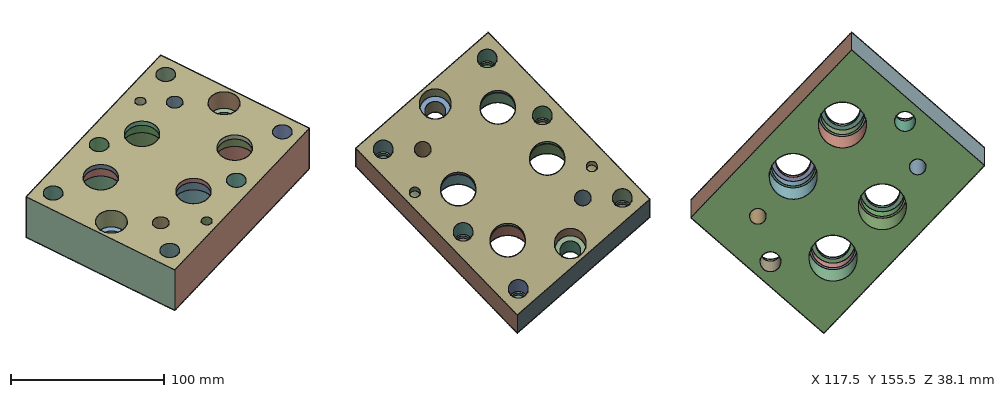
import cadquery as cq
import math

WIDTH = 117.5
LENGTH = 155.5
THICKNESS = 38.1
TOP = THICKNESS / 2

DRILL_POINT_ANGLE = 118.0

END_ROW = 65.0
SIDE_COLUMN = 46.0
PORT_COLUMN = 28.5
ROW_PITCH = 23.8
INNER_ROW = ROW_PITCH / 2
OUTER_ROW = INNER_ROW + ROW_PITCH

MOUNT_DIAMETER = 13.5
MOUNT_HEAD_DIAMETER = 20.7
MOUNT_HEAD_DEPTH = 15.5
MOUNT_POINTS = [(0, END_ROW), (0, -END_ROW)]

PORT_DIAMETER = 23.0
PORT_MIDDLE_DIAMETER = 28.6
PORT_MIDDLE_START = 3.9
PORT_BOTTOM_DIAMETER = 31.3
PORT_BOTTOM_START = 13.7
PORT_POINTS = [
    (PORT_COLUMN, OUTER_ROW),
    (PORT_COLUMN, -INNER_ROW),
    (-PORT_COLUMN, INNER_ROW),
    (-PORT_COLUMN, -OUTER_ROW),
]

PILOT_DIAMETER = 10.7
PILOT_COLUMN = 27.0
PILOT_ROW = 47.6
PILOT_POINTS = [(-PILOT_COLUMN, PILOT_ROW), (PILOT_COLUMN, -PILOT_ROW)]

SCREW_THREAD_DIAMETER = 12.8
SCREW_THREAD_DEPTH = 24.9
SCREW_DRILL_DIAMETER = 10.7
SCREW_DRILL_DEPTH = 29.5
SCREW_POINTS = [
    (-SIDE_COLUMN, END_ROW),
    (SIDE_COLUMN, END_ROW),
    (SIDE_COLUMN, INNER_ROW),
    (-SIDE_COLUMN, -INNER_ROW),
    (-SIDE_COLUMN, -END_ROW),
    (SIDE_COLUMN, -END_ROW),
]

PIN_DIAMETER = 7.2
PIN_DEPTH = 8.1
RIGHT_PIN_COLUMN = 50.9
RIGHT_PIN_ROW = -29.4
PIN_POINTS = [(-SIDE_COLUMN, OUTER_ROW), (RIGHT_PIN_COLUMN, RIGHT_PIN_ROW)]


def cylinders(points, diameter, start_depth, end_depth):
    """Cylinders at the points, between two depths below the top face."""
    return (
        cq.Workplane("XY", origin=(0, 0, TOP - end_depth))
        .pushPoints(points)
        .circle(diameter / 2)
        .extrude(end_depth - start_depth)
    )


def drilled_hole(point, diameter, depth):
    """Blind hole from the top face, full diameter to the depth, with a conical tip."""
    radius = diameter / 2
    tip_length = radius / math.tan(math.radians(DRILL_POINT_ANGLE / 2))
    return (
        cq.Workplane("XZ", origin=(point[0], point[1], TOP))
        .moveTo(0, 0)
        .lineTo(radius, 0)
        .lineTo(radius, -depth)
        .lineTo(0, -depth - tip_length)
        .close()
        .revolve(360, (0, 0), (0, 1))
    )


plate = cq.Workplane("XY").box(WIDTH, LENGTH, THICKNESS)

plate = plate.cut(cylinders(MOUNT_POINTS, MOUNT_DIAMETER, 0, THICKNESS))
plate = plate.cut(cylinders(MOUNT_POINTS, MOUNT_HEAD_DIAMETER, 0, MOUNT_HEAD_DEPTH))

plate = plate.cut(cylinders(PORT_POINTS, PORT_DIAMETER, 0, THICKNESS))
plate = plate.cut(cylinders(PORT_POINTS, PORT_MIDDLE_DIAMETER, PORT_MIDDLE_START, THICKNESS))
plate = plate.cut(cylinders(PORT_POINTS, PORT_BOTTOM_DIAMETER, PORT_BOTTOM_START, THICKNESS))

plate = plate.cut(cylinders(PILOT_POINTS, PILOT_DIAMETER, 0, THICKNESS))

plate = plate.cut(cylinders(SCREW_POINTS, SCREW_THREAD_DIAMETER, 0, SCREW_THREAD_DEPTH))
for point in SCREW_POINTS:
    plate = plate.cut(drilled_hole(point, SCREW_DRILL_DIAMETER, SCREW_DRILL_DEPTH))

for point in PIN_POINTS:
    plate = plate.cut(drilled_hole(point, PIN_DIAMETER, PIN_DEPTH))

result = plate